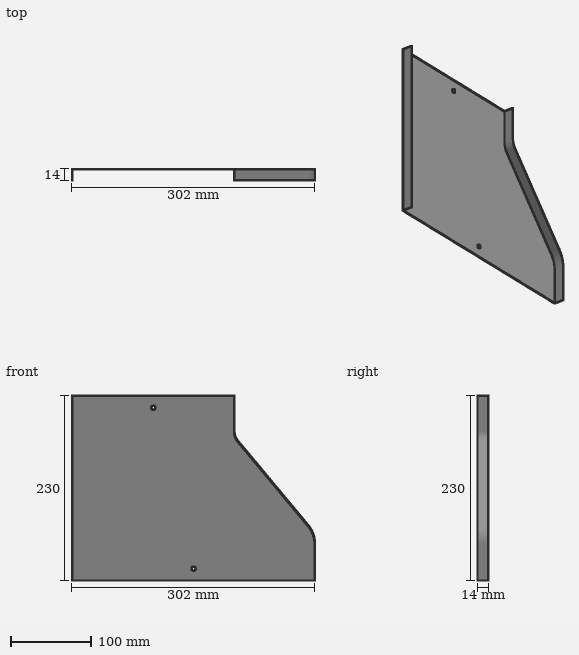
import cadquery as cq
import math

bottom_width = 302.0
top_width = 202.0
height = 230.0
depth = 14.0
sheet = 0.8

lower_corner_z = 58.75
slant_rise = 120.0
upper_corner_z = lower_corner_z + slant_rise
convex_radius = 35.0
concave_radius = 18.0

hole_diameter = 5.0
hole_edge_distance = 15.0

lean = math.atan2(bottom_width - top_width, slant_rise)


def bend_points(corner_x, corner_z, radius, side):
    """Start, middle and end of the arc rounding a corner, going upwards.

    side is +1 for the convex lower bend and -1 for the concave upper bend.
    """
    tangent = radius * math.tan(lean / 2)
    vertical_end = (corner_x, corner_z - side * tangent)
    slanted_end = (
        corner_x - side * tangent * math.sin(lean),
        corner_z + side * tangent * math.cos(lean),
    )
    centre_x = corner_x - side * radius
    middle = (
        centre_x + side * radius * math.cos(lean / 2),
        vertical_end[1] + side * radius * math.sin(lean / 2),
    )
    points = [vertical_end, middle, slanted_end]
    return points if side > 0 else points[::-1]


def sheet_prism(inset, length):
    """Prism over the plate outline, with its left and right edges moved in by inset."""
    corner_drop = inset * math.tan(lean / 2)
    right_x = bottom_width - inset
    step_x = top_width - inset
    lower = bend_points(right_x, lower_corner_z - corner_drop, convex_radius - inset, 1)
    upper = bend_points(step_x, upper_corner_z - corner_drop, concave_radius + inset, -1)
    return (
        cq.Workplane("XZ")
        .moveTo(inset, 0)
        .lineTo(right_x, 0)
        .lineTo(*lower[0])
        .threePointArc(lower[1], lower[2])
        .lineTo(*upper[0])
        .threePointArc(upper[1], upper[2])
        .lineTo(step_x, height)
        .lineTo(inset, height)
        .close()
        .extrude(length)
    )


def folded_sheet():
    """Flat plate with a flange towards -Y along its left and right edges."""
    flange_length = depth - sheet
    space_between_flanges = sheet_prism(sheet, flange_length).translate((0, -sheet, 0))
    return sheet_prism(0, depth).cut(space_between_flanges)


def hole(x, z):
    """Cylinder through the plate."""
    return cq.Workplane("XZ").center(x, z).circle(hole_diameter / 2).extrude(sheet)


result = (
    folded_sheet()
    .cut(hole(bottom_width / 2, hole_edge_distance))
    .cut(hole(top_width / 2, height - hole_edge_distance))
)